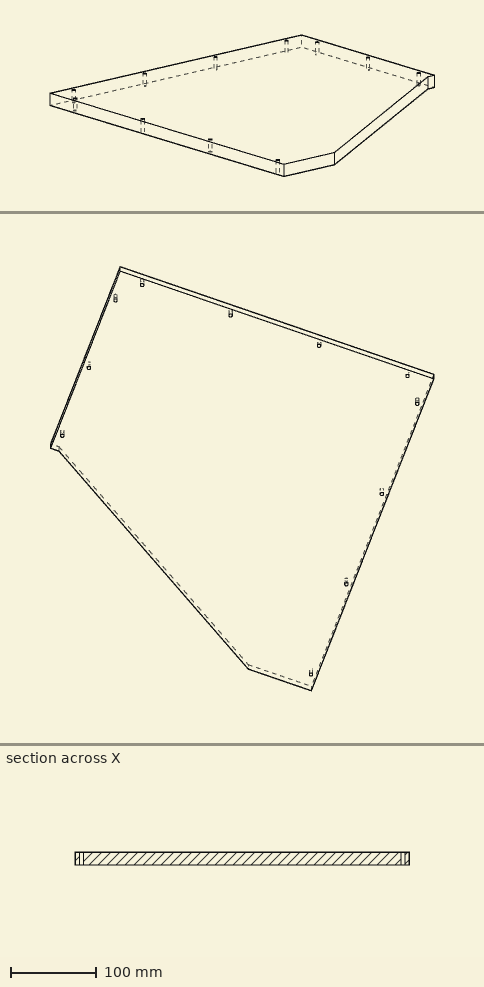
import cadquery as cq

length = 415.0
width = 390.0
thickness = 15.0
top_edge_length = 235.7
top_right_drop = 10.5
right_edge_height = 78.5

hole_diameter = 4.0
edge_distance = thickness / 2
row_start_x = 36.0
bottom_pitch = 120.0
bottom_count = 4
top_pitch = 90.0
top_count = 3
left_pitch = 110.0
left_count = 4


def row_positions(start, pitch, count):
    """Evenly spaced coordinates along one edge."""
    return [start + i * pitch for i in range(count)]


outline = [
    (0, 0),
    (length, 0),
    (length, right_edge_height),
    (top_edge_length, width - top_right_drop),
    (top_edge_length, width),
    (0, width),
]
panel = cq.Workplane("XY").polyline(outline).close().extrude(thickness)

left_start_y = (width - (left_count - 1) * left_pitch) / 2
bottom_holes = [(x, edge_distance) for x in row_positions(row_start_x, bottom_pitch, bottom_count)]
top_holes = [(x, width - edge_distance) for x in row_positions(row_start_x, top_pitch, top_count)]
left_holes = [(edge_distance, y) for y in row_positions(left_start_y, left_pitch, left_count)]

result = (
    panel.faces(">Z")
    .workplane(origin=(0, 0, thickness))
    .pushPoints(bottom_holes + top_holes + left_holes)
    .hole(hole_diameter)
)